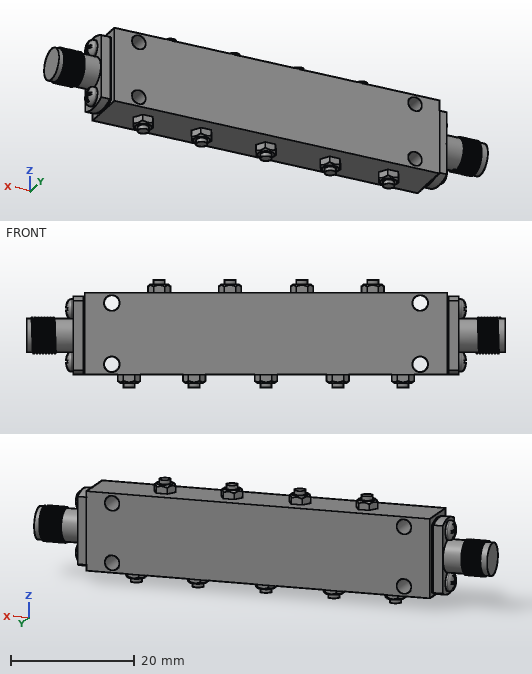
import cadquery as cq
import math

overall_length = 77.8
overall_height = 17.5

body_length = 59.0
body_width = 8.0
body_height = 13.3
mount_hole_diameter = 2.5
mount_hole_x = 25.05
mount_hole_z = 5.0

tuner_height = (overall_height - body_height) / 2
tuner_diameter = 1.9
nut_across_flats = 3.2
nut_across_corners = nut_across_flats / math.cos(math.radians(30))
nut_height = 1.4
nut_chamfer_rise = 0.4
nut_chamfer_run = 0.5
top_tuner_x = [-17.35, -5.8, 5.8, 17.35]
bottom_tuner_x = [-22.25, -11.7, 0.0, 11.7, 22.25]

flange_diameter = 12.75
flange_width = 5.9
flange_thickness = 1.9
gasket_thickness = 0.2
gasket_inset = 0.1
connector_z = (flange_diameter - body_height) / 2

barrel_diameter = 5.5
barrel_length = (overall_length - body_length) / 2
thread_diameter = 5.9
thread_pitch = 0.5
thread_base_width = 0.435
thread_crest_width = 0.1
thread_turns = 7.5
thread_tip_gap = 0.7
thread_root_overlap = 0.1

flange_screw_spacing = 8.55
head_diameter = 3.3
head_height = 1.2
head_rim_height = 0.3
recess_length = 2.1
recess_width = 0.4
recess_depth = 0.6


def make_housing():
    """Rectangular block with four mounting holes through its width."""
    block = cq.Workplane("XY").box(body_length, body_width, body_height)
    return (
        block.faces("<Y").workplane(centerOption="CenterOfBoundBox")
        .rect(2 * mount_hole_x, 2 * mount_hole_z, forConstruction=True)
        .vertices()
        .hole(mount_hole_diameter)
    )


def make_tuner():
    """Chamfered hex nut and protruding screw, standing on Z = 0."""
    nut = cq.Workplane("XY").polygon(6, nut_across_corners).extrude(nut_height)
    corner_radius = nut_across_corners / 2
    turned_blank = (
        cq.Workplane("XZ")
        .moveTo(0, 0)
        .lineTo(corner_radius, 0)
        .lineTo(corner_radius, nut_height - nut_chamfer_rise)
        .lineTo(corner_radius - nut_chamfer_run, nut_height)
        .lineTo(0, nut_height)
        .close()
        .revolve(360, (0, 0, 0), (0, 1, 0))
    )
    screw = cq.Workplane("XY").circle(tuner_diameter / 2).extrude(tuner_height)
    return nut.intersect(turned_blank).union(screw)


def make_flange_screw_head():
    """Elliptically domed screw head with a cross recess, standing on Z = 0."""
    dome_rise = head_height - head_rim_height
    head = (
        cq.Workplane("XZ")
        .moveTo(0, 0)
        .lineTo(head_diameter / 2, 0)
        .lineTo(head_diameter / 2, head_rim_height)
        .ellipseArc(head_diameter / 2, dome_rise, 0, 90, startAtCurrent=True)
        .close()
        .revolve(360, (0, 0, 0), (0, 1, 0))
    )
    for slot_size in [(recess_length, recess_width), (recess_width, recess_length)]:
        slot = (
            cq.Workplane("XY").workplane(offset=head_height - recess_depth)
            .rect(*slot_size).extrude(recess_depth)
        )
        head = head.cut(slot)
    return head


def make_thread():
    """Helical ridge around the Z axis, rooted just inside the barrel surface."""
    root_radius = barrel_diameter / 2 - thread_root_overlap
    crest_radius = thread_diameter / 2
    length = thread_turns * thread_pitch
    start = barrel_length - thread_tip_gap - thread_base_width / 2 - length
    path = cq.Wire.makeHelix(thread_pitch, length, root_radius)
    ridge = (
        cq.Workplane("XZ")
        .moveTo(root_radius, -thread_base_width / 2)
        .lineTo(crest_radius, -thread_crest_width / 2)
        .lineTo(crest_radius, thread_crest_width / 2)
        .lineTo(root_radius, thread_base_width / 2)
        .close()
        .sweep(cq.Workplane(path), isFrenet=True)
    )
    return ridge.translate((0, 0, start))


def make_flange_plate(thickness, inset):
    """Disc with two flats along X, its outline shrunk by the inset, standing on Z = 0."""
    disc = cq.Workplane("XY").circle(flange_diameter / 2 - inset).extrude(thickness)
    trim = cq.Workplane("XY").rect(flange_diameter, flange_width - 2 * inset).extrude(thickness)
    return disc.intersect(trim)


def make_connector():
    """Gasket, flange, screw heads and threaded barrel, pointing along +Z from Z = 0.

    The long direction of the flange lies along local X.
    """
    gasket = make_flange_plate(gasket_thickness, gasket_inset)
    plate = make_flange_plate(flange_thickness - gasket_thickness, 0)
    flange = gasket.union(plate.translate((0, 0, gasket_thickness)))
    barrel = cq.Workplane("XY").circle(barrel_diameter / 2).extrude(barrel_length)
    connector = flange.union(barrel.union(make_thread()))
    head = make_flange_screw_head()
    for side in (-1, 1):
        connector = connector.union(head.translate((side * flange_screw_spacing / 2, 0, flange_thickness)))
    return connector


result = make_housing()

tuner = make_tuner()
bottom_tuner = tuner.mirror("XY")
for x in top_tuner_x:
    result = result.union(tuner.translate((x, 0, body_height / 2)))
for x in bottom_tuner_x:
    result = result.union(bottom_tuner.translate((x, 0, -body_height / 2)))

right_connector = (
    make_connector()
    .rotate((0, 0, 0), (0, 1, 0), 90)
    .translate((body_length / 2, 0, connector_z))
)
left_connector = right_connector.rotate((0, 0, 0), (0, 0, 1), 180)
result = result.union(right_connector).union(left_connector)